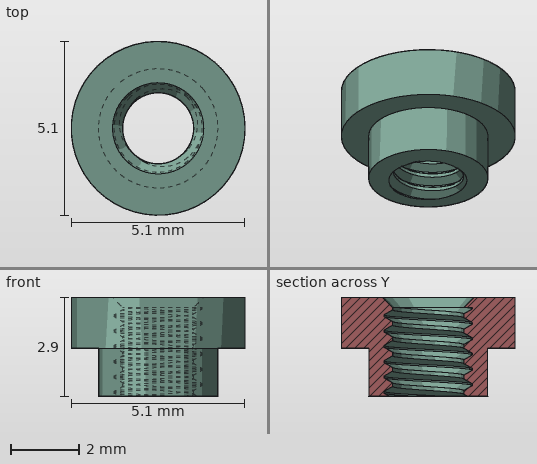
import cadquery as cq
import math

head_diameter = 5.1
shank_diameter = 3.5
total_height = 2.9
head_height = 1.5
shank_height = total_height - head_height

bore_radius = 2.075 / 2
mouth_radius = 2.67 / 2
mouth_depth = 0.305
mouth_floor = total_height - mouth_depth

thread_pitch = 0.45
root_radius = 2.58 / 2
crest_width = thread_pitch / 4
flank_angle = math.radians(30)
groove_overlap = 0.025
thread_phase = 45.0
crest_drop = 0.12
cutter_turns = 8
groove_half_width = (thread_pitch - crest_width) / 2
root_half_width = groove_half_width - (root_radius - bore_radius) * math.tan(flank_angle)
cutter_length = cutter_turns * thread_pitch
cutter_top = mouth_floor - crest_drop + groove_half_width + thread_pitch
cutter_bottom = cutter_top - cutter_length


def make_body():
    shank = cq.Workplane("XY").circle(shank_diameter / 2).extrude(shank_height)
    head = (
        cq.Workplane("XY")
        .workplane(offset=shank_height)
        .circle(head_diameter / 2)
        .extrude(head_height)
    )
    return shank.union(head)


def make_bore():
    """Through bore that widens into a cone at the top."""
    return (
        cq.Workplane("XZ")
        .moveTo(0, 0)
        .lineTo(bore_radius, 0)
        .lineTo(bore_radius, mouth_floor)
        .lineTo(mouth_radius, total_height)
        .lineTo(0, total_height)
        .close()
        .revolve(360, (0, 0, 0), (0, 1, 0))
    )


def make_thread_groove():
    """Helical groove cutter, ending flat at the mouth floor and the bottom face."""
    inner_radius = bore_radius - groove_overlap
    inner_half_width = groove_half_width + groove_overlap * math.tan(flank_angle)
    path = cq.Wire.makeHelix(thread_pitch, cutter_length, bore_radius)
    groove = (
        cq.Workplane("XZ")
        .moveTo(inner_radius, -inner_half_width)
        .lineTo(root_radius, -root_half_width)
        .lineTo(root_radius, root_half_width)
        .lineTo(inner_radius, inner_half_width)
        .close()
        .sweep(cq.Workplane(path), isFrenet=True)
        .rotate((0, 0, 0), (0, 0, 1), thread_phase)
        .translate((0, 0, cutter_bottom))
    )
    threaded_length = cq.Workplane("XY").circle(shank_diameter / 2).extrude(mouth_floor)
    return groove.intersect(threaded_length)


result = make_body().cut(make_bore()).cut(make_thread_groove())